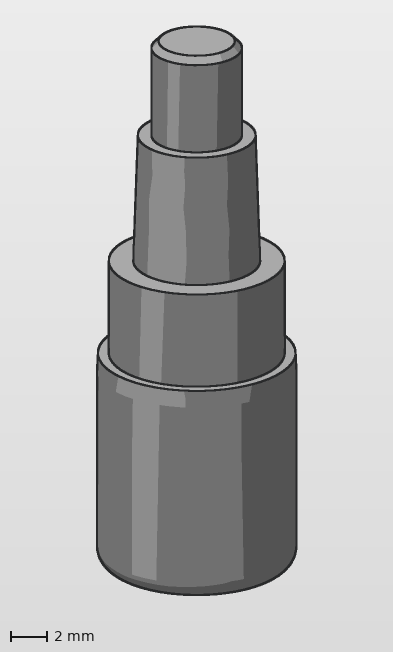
import cadquery as cq

housing_radius = 5.5
band_radius = 5.45
housing_height = 12.5
band_height = 1.0
bottom_fillet = 1.0

collar_radius = 4.85
collar_height = 5.5
neck_base_radius = 3.5
neck_top_radius = 3.25
neck_height = 7.5
tip_radius = 2.5
tip_height = 5.6
tip_chamfer = 0.4

collar_top = housing_height + collar_height
neck_top = collar_top + neck_height
band_start = housing_height - band_height


def make_frustum(base_radius, top_radius, base_z, height):
    """Solid cone frustum on the Z axis, starting at base_z."""
    cone = cq.Solid.makeCone(base_radius, top_radius, height)
    return cq.Workplane(cone).translate((0, 0, base_z))


def make_cylinder(radius, base_z, height):
    """Solid cylinder on the Z axis, starting at base_z."""
    return cq.Workplane(origin=(0, 0, base_z)).circle(radius).extrude(height)


def make_housing():
    barrel = make_cylinder(housing_radius, 0, band_start).faces("<Z").edges().fillet(bottom_fillet)
    band = make_frustum(housing_radius, band_radius, band_start, band_height)
    return barrel.union(band)


def make_plunger():
    collar = make_cylinder(collar_radius, housing_height, collar_height)
    neck = make_frustum(neck_base_radius, neck_top_radius, collar_top, neck_height)
    tip = make_cylinder(tip_radius, neck_top, tip_height).faces(">Z").edges().chamfer(tip_chamfer)
    return collar.union(neck).union(tip)


housing = make_housing()
plunger = make_plunger()

result = cq.Compound.makeCompound([housing.val(), plunger.val()])